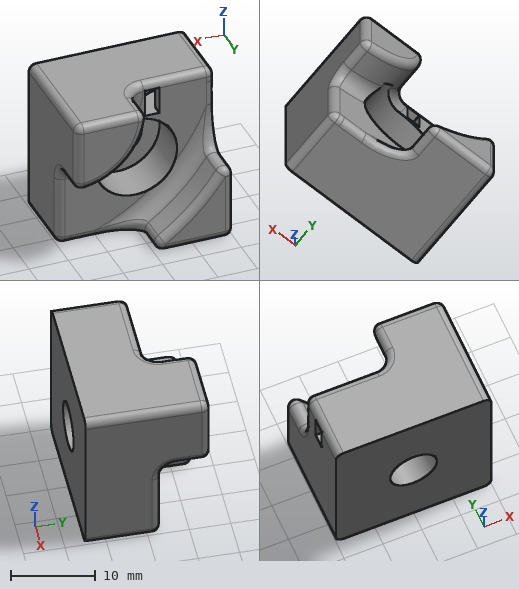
import cadquery as cq
import math

side = 20.0
depth = 15.0
half = side / 2
edge_radius = 1.0

channel_floor = 9.0
channel_inner_radius = 9.0
channel_inner_center = half
channel_outer_radius = 26.65
channel_outer_center = 14.0
channel_floor_fillet = 2.0

hole_diameter = 6.0
recess_diameter = 10.5
recess_bottom = 3.5
recess_height = 8.0

strap_width = 3.5
strap_thickness = 1.8
strap_top = half - edge_radius
strap_high_wall = 6.0
strap_low_wall = strap_high_wall - strap_thickness
bend_inner_radius = 2.0
bend_outer_radius = bend_inner_radius + strap_thickness
bend_start = -5.0


def cylinder_along_y(x, z, radius, start, height):
    """Solid cylinder running in +Y from the plane Y = start."""
    return cq.Workplane(
        obj=cq.Solid.makeCylinder(radius, height, cq.Vector(x, start, z), cq.Vector(0, 1, 0))
    )


def make_block():
    return cq.Workplane("XY").box(side, depth, side).translate((0, depth / 2, 0))


def make_channel():
    """Ring segment with rounded floor corners, running past the block at both ends and at the back."""
    outer = cylinder_along_y(
        channel_outer_center, channel_outer_center, channel_outer_radius, channel_floor, depth
    )
    inner = cylinder_along_y(
        channel_inner_center, channel_inner_center, channel_inner_radius, channel_floor, depth
    )
    return outer.cut(inner).faces("<Y").edges().fillet(channel_floor_fillet)


def round_outer_edges(body):
    """Round every edge of the outer faces except those of the mounting face."""
    mounting_edges = body.faces("<Y").edges()
    outer_edges = body.faces("<X or >X or <Z or >Z or >Y").edges()
    rounded_edges = [
        edge for edge in outer_edges.vals() if not any(edge.isSame(sharp) for sharp in mounting_edges.vals())
    ]
    return body.newObject(rounded_edges).fillet(edge_radius)


def make_screw_hole():
    hole = cylinder_along_y(0, 0, hole_diameter / 2, 0, recess_bottom)
    recess = cylinder_along_y(0, 0, recess_diameter / 2, recess_bottom, recess_height)
    return hole.union(recess)


def make_strap_passage():
    bend_center_y = strap_low_wall + bend_outer_radius
    diagonal = math.sqrt(0.5)
    outer_mid = (
        bend_start + bend_outer_radius * diagonal,
        bend_center_y - bend_outer_radius * diagonal,
    )
    inner_mid = (
        bend_start + bend_inner_radius * diagonal,
        bend_center_y - bend_inner_radius * diagonal,
    )
    return (
        cq.Workplane("XY", origin=(0, 0, strap_top - strap_width))
        .moveTo(-half, strap_low_wall)
        .lineTo(bend_start, strap_low_wall)
        .threePointArc(outer_mid, (bend_start + bend_outer_radius, bend_center_y))
        .lineTo(bend_start + bend_outer_radius, channel_floor)
        .lineTo(bend_start + bend_inner_radius, channel_floor)
        .lineTo(bend_start + bend_inner_radius, bend_center_y)
        .threePointArc(inner_mid, (bend_start, strap_high_wall))
        .lineTo(-half, strap_high_wall)
        .close()
        .extrude(strap_width)
    )


body = round_outer_edges(make_block().cut(make_channel()))
result = body.cut(make_screw_hole()).cut(make_strap_passage())